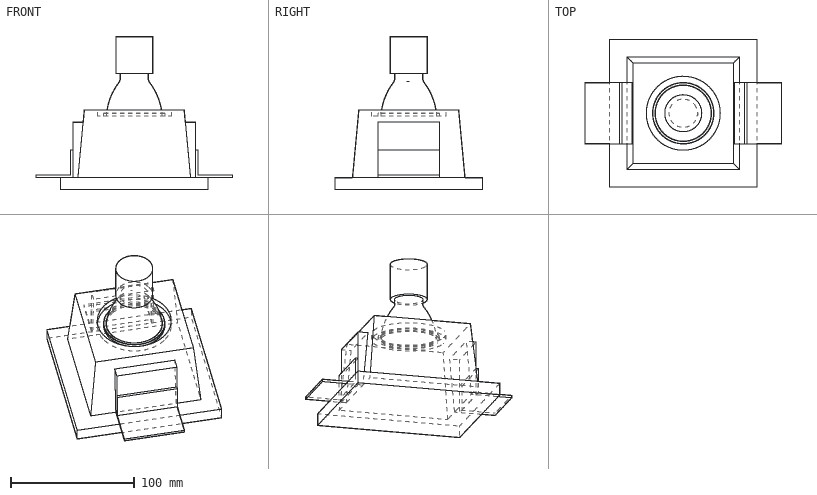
import cadquery as cq

plate_side = 120.0
plate_height = 10.0

housing_bottom_side = 91.5
housing_top_side = 81.3
housing_height = 55.0
recess_radius = 30.0
recess_depth = 5.0

clip_width = 50.0
block_outer_x = 50.0
block_height = 45.0
bracket_reach_x = 80.0
bracket_height = 22.5
bracket_thickness = 2.0

ring_outer_radius = 25.0
ring_height = 2.2
ring_edge_chamfer = 0.24

dome_bottom_radius = 22.7
dome_middle_radius = 18.2
dome_middle_level = 77.8
dome_top_radius = 12.0
neck_radius = 11.5
neck_height = 4.6
collar_height = 1.6

cap_radius = 15.0
cap_height = 30.0
overall_height = 124.3

plate_top = plate_height
housing_top = plate_top + housing_height
recess_floor = housing_top - recess_depth
ring_top = recess_floor + ring_height
cap_bottom = overall_height - cap_height
collar_top = cap_bottom - neck_height
dome_top = collar_top - collar_height


def make_plate():
    return cq.Workplane("XY").rect(plate_side, plate_side).extrude(plate_height)


def make_frustum():
    return (
        cq.Workplane("XY")
        .workplane(offset=plate_top)
        .rect(housing_bottom_side, housing_bottom_side)
        .workplane(offset=housing_height)
        .rect(housing_top_side, housing_top_side)
        .loft(ruled=True)
    )


def make_housing():
    recess = (
        cq.Workplane("XY")
        .workplane(offset=recess_floor)
        .circle(recess_radius)
        .extrude(recess_depth)
    )
    return make_frustum().cut(recess)


def extrude_across(outline):
    """Extrude an XZ outline by the clip width, centred on Y = 0."""
    return outline.close().extrude(clip_width / 2, both=True)


def make_block(side):
    """Wedge between the sloping housing wall and the bracket; side is -1 or +1."""
    block_top = plate_top + block_height
    wall_bottom_x = housing_bottom_side / 2
    wall_top_x = housing_top_side / 2
    wall_x = wall_bottom_x + (wall_top_x - wall_bottom_x) * block_height / housing_height
    return extrude_across(
        cq.Workplane("XZ")
        .moveTo(side * wall_bottom_x, plate_top)
        .lineTo(side * block_outer_x, plate_top)
        .lineTo(side * block_outer_x, block_top)
        .lineTo(side * wall_x, block_top)
    )


def make_bracket(side):
    """L-shaped strip: one leg up the block, one leg out over the plate edge."""
    bracket_top = plate_top + bracket_height
    leg_top = plate_top + bracket_thickness
    upright_outer_x = block_outer_x + bracket_thickness
    return extrude_across(
        cq.Workplane("XZ")
        .moveTo(side * block_outer_x, plate_top)
        .lineTo(side * bracket_reach_x, plate_top)
        .lineTo(side * bracket_reach_x, leg_top)
        .lineTo(side * upright_outer_x, leg_top)
        .lineTo(side * upright_outer_x, bracket_top)
        .lineTo(side * block_outer_x, bracket_top)
    )


def make_ring():
    return (
        cq.Workplane("XY")
        .workplane(offset=recess_floor)
        .circle(ring_outer_radius)
        .circle(dome_bottom_radius)
        .extrude(ring_height)
        .faces(">Z")
        .edges()
        .chamfer(ring_edge_chamfer)
    )


def make_lamp():
    """Turned body: plug in the ring, dome, conical collar and neck."""
    return (
        cq.Workplane("XZ")
        .moveTo(0, recess_floor)
        .lineTo(dome_bottom_radius, recess_floor)
        .lineTo(dome_bottom_radius, ring_top)
        .threePointArc((dome_middle_radius, dome_middle_level), (dome_top_radius, dome_top))
        .lineTo(neck_radius, collar_top)
        .lineTo(neck_radius, cap_bottom)
        .lineTo(0, cap_bottom)
        .close()
        .revolve(360, (0, 0, 0), (0, 1, 0))
    )


def make_cap():
    return cq.Workplane("XY").workplane(offset=cap_bottom).circle(cap_radius).extrude(cap_height)


plate = make_plate()
housing = make_housing()
blocks = [make_block(side) for side in (-1, 1)]
brackets = [make_bracket(side) for side in (-1, 1)]
ring = make_ring()
lamp = make_lamp()
cap = make_cap()

result = cq.Compound.makeCompound([
    plate.val(),
    housing.val(),
    *[block.val() for block in blocks],
    *[bracket.val() for bracket in brackets],
    ring.val(),
    lamp.val(),
    cap.val(),
])